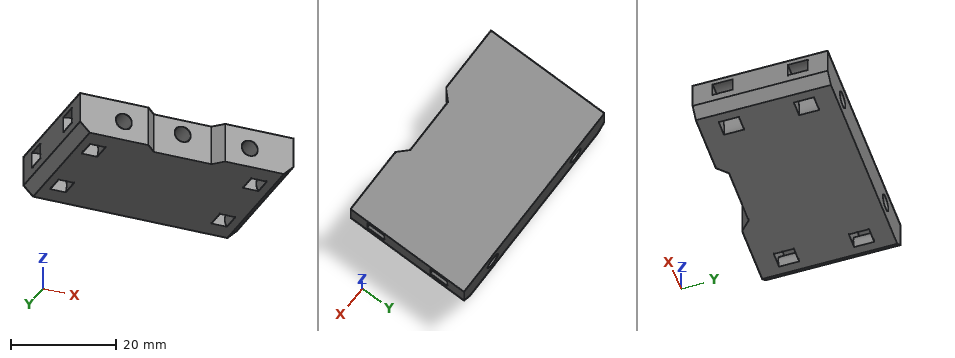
import cadquery as cq

length = 44.1
width = 27.0
height = 8.2
edge_chamfer = 2.0

notch_depth = 2.0
notch_mouth = 15.88
notch_floor = notch_mouth - 2 * notch_depth

hole_diameter = 3.3
through_hole_offset = 13.0
through_hole_height = 4.0
blind_hole_height = 5.15
blind_hole_depth = 8.8

channel_width = 4.0
channel_spacing = 15.0
channel_inset = 1.5
channel_inner_radius = 2.75
channel_outer_radius = 5.7

front_y = -width / 2


def make_block():
    block = cq.Workplane("XY").box(length, width, height, centered=(True, True, False))
    return block.faces("<Z").edges("|Y").chamfer(edge_chamfer)


def make_notch():
    inner_y = front_y + notch_depth
    outline = [
        (-notch_mouth / 2, front_y),
        (-notch_floor / 2, inner_y),
        (notch_floor / 2, inner_y),
        (notch_mouth / 2, front_y),
    ]
    return cq.Workplane("XY").polyline(outline).close().extrude(height)


def make_hole(x, z, start_y, depth):
    """A round hole running in the +Y direction from start_y."""
    plane = cq.Workplane("XZ", origin=(x, start_y, z))
    return plane.circle(hole_diameter / 2).extrude(-depth)


def make_channel(side, y):
    """A ring around a Y axis near a chamfered lower end edge; side is -1 or 1."""
    axis_x = side * (length / 2 - channel_inset)
    plane = cq.Workplane("XZ", origin=(axis_x, y, channel_inset))
    ring = plane.circle(channel_outer_radius).circle(channel_inner_radius)
    return ring.extrude(channel_width / 2, both=True)


result = make_block().cut(make_notch())
result = result.cut(make_hole(0, blind_hole_height, front_y + notch_depth, blind_hole_depth))

for side in (-1, 1):
    result = result.cut(make_hole(side * through_hole_offset, through_hole_height, front_y, width))
    for y in (-channel_spacing / 2, channel_spacing / 2):
        result = result.cut(make_channel(side, y))